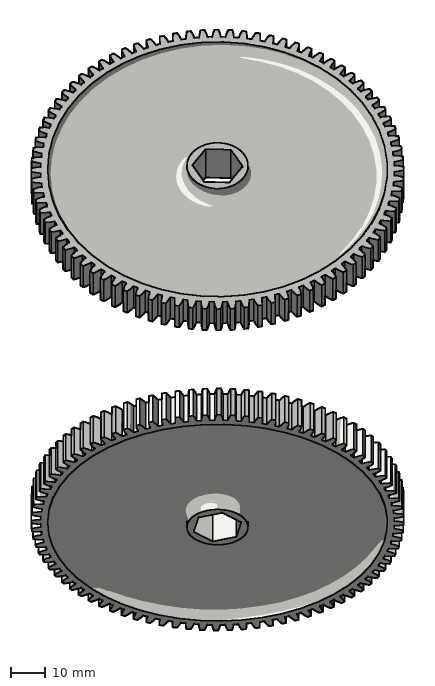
import math

import cadquery as cq


tooth_count = 84
gear_span = 109.2
pressure_angle = math.radians(14.5)
root_depth_ratio = 1.16

face_width = 9.5
hub_length = 12.7
hub_radius = 9.0
hex_across_flats = 12.8
rim_inner_radius = 49.8
fillet_radius = 3.2

pitch_angle = 2 * math.pi / tooth_count


def involute_angle(pressure):
    return math.tan(pressure) - pressure


def half_tooth_angle(radius, base_radius):
    """Half of the angle a tooth fills at the given radius."""
    pressure = math.acos(base_radius / radius)
    return pitch_angle / 4 + involute_angle(pressure_angle) - involute_angle(pressure)


def base_radius_for(outer_radius):
    return outer_radius * tooth_count / (tooth_count + 2) * math.cos(pressure_angle)


tip_half_angle = half_tooth_angle(1.0, base_radius_for(1.0))
tip_radius = gear_span / 2 / math.cos(pitch_angle / 2 - tip_half_angle)
module = 2 * tip_radius / (tooth_count + 2)
pitch_radius = tip_radius - module
root_radius = pitch_radius - root_depth_ratio * module
base_radius = base_radius_for(tip_radius)


def polar(radius, angle):
    return (radius * math.cos(angle), radius * math.sin(angle))


def toothed_prism():
    """Full-height prism with the tooth outline: root, flank, tip and flank for every tooth."""
    foot_half_angle = half_tooth_angle(root_radius, base_radius)
    pitch_half_angle = half_tooth_angle(pitch_radius, base_radius)
    outline = cq.Workplane("XY", origin=(0, 0, -hub_length / 2))
    outline = outline.moveTo(*polar(root_radius, foot_half_angle - pitch_angle / 2))
    for tooth in range(tooth_count):
        gap = tooth * pitch_angle
        centre = gap + pitch_angle / 2
        outline = (
            outline.threePointArc(polar(root_radius, gap), polar(root_radius, centre - foot_half_angle))
            .threePointArc(
                polar(pitch_radius, centre - pitch_half_angle),
                polar(tip_radius, centre - tip_half_angle),
            )
            .threePointArc(polar(tip_radius, centre), polar(tip_radius, centre + tip_half_angle))
            .threePointArc(
                polar(pitch_radius, centre + pitch_half_angle),
                polar(root_radius, centre + foot_half_angle),
            )
        )
    return outline.close().extrude(hub_length)


def body_of_revolution():
    """Hub, web and rim, with a concave fillet where the web meets the hub and the rim."""
    hub_top = hub_length / 2
    rim_top = face_width / 2
    web_top = rim_top - fillet_radius
    blank_radius = tip_radius + module
    fillet_middle = fillet_radius * math.sqrt(0.5)
    hub_fillet_centre = hub_radius + fillet_radius
    rim_fillet_centre = rim_inner_radius - fillet_radius
    upper_half = (
        cq.Workplane("XZ")
        .lineTo(0, hub_top)
        .lineTo(hub_radius, hub_top)
        .lineTo(hub_radius, rim_top)
        .threePointArc(
            (hub_fillet_centre - fillet_middle, rim_top - fillet_middle),
            (hub_fillet_centre, web_top),
        )
        .lineTo(rim_fillet_centre, web_top)
        .threePointArc(
            (rim_fillet_centre + fillet_middle, rim_top - fillet_middle),
            (rim_inner_radius, rim_top),
        )
        .lineTo(blank_radius, rim_top)
        .lineTo(blank_radius, 0)
        .close()
        .revolve(360, (0, 0, 0), (0, 1, 0))
    )
    return upper_half.union(upper_half.mirror("XY"))


def hex_bore():
    """Hexagonal through hole with two flats facing along X."""
    across_corners = hex_across_flats / math.cos(math.pi / 6)
    bore = cq.Workplane("XY").polygon(6, across_corners).extrude(hub_length / 2, both=True)
    return bore.rotate((0, 0, 0), (0, 0, 1), 30)


result = body_of_revolution().intersect(toothed_prism()).cut(hex_bore())